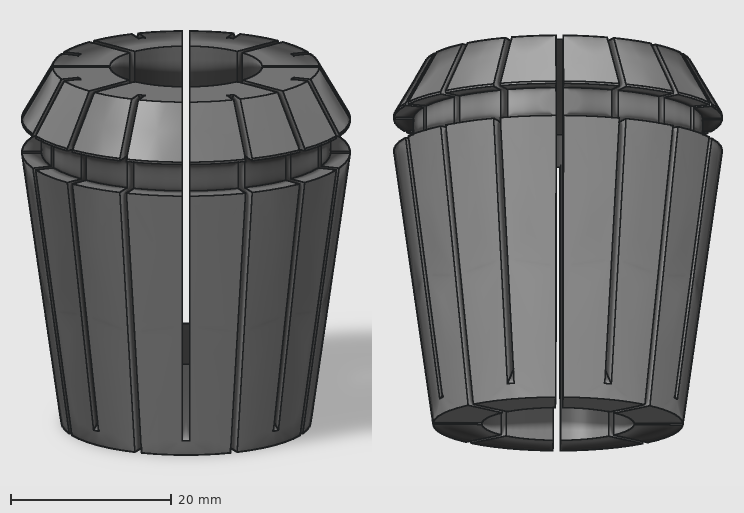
import cadquery as cq
import math

collet_height = 46.0
max_radius = 20.5
bore_radius = 9.5

taper_height = 34.9
taper_half_angle = 8.0
groove_radius = 18.05
groove_width = 4.1
rim_height = 0.3
nose_half_angle = 30.0

slots_per_end = 8
slot_width = 0.9
saw_radius = 50.0
slot_pitch = 360.0 / slots_per_end

root_start_radius = bore_radius - 0.5
top_slot_root_inner = (root_start_radius, 10.9)
top_slot_root_outer = (15.9, 1.9)
bottom_slot_root_inner = (root_start_radius, 33.1)
bottom_slot_root_outer = (14.4, collet_height)

clearance = 5.0
cut_inner_radius = bore_radius / 2
cut_outer_radius = max_radius + clearance


def revolved_body():
    """Bored double-cone blank turned about the Z axis."""
    rim_bottom = taper_height + groove_width
    rim_top = rim_bottom + rim_height
    base_radius = max_radius - taper_height * math.tan(math.radians(taper_half_angle))
    nose_drop = (collet_height - rim_top) * math.tan(math.radians(nose_half_angle))
    return (
        cq.Workplane("XZ")
        .moveTo(bore_radius, 0)
        .lineTo(base_radius, 0)
        .lineTo(max_radius, taper_height)
        .lineTo(groove_radius, taper_height)
        .lineTo(groove_radius, rim_bottom)
        .lineTo(max_radius, rim_bottom)
        .lineTo(max_radius, rim_top)
        .lineTo(max_radius - nose_drop, collet_height)
        .lineTo(bore_radius, collet_height)
        .close()
        .revolve(360, (0, 0, 0), (0, 1, 0))
    )


def root_midpoint(inner, outer):
    """Middle of the saw arc from inner to outer, bulging towards the axis."""
    run = outer[0] - inner[0]
    rise = outer[1] - inner[1]
    chord = math.hypot(run, rise)
    sagitta = saw_radius - math.sqrt(saw_radius**2 - (chord / 2) ** 2)
    mid_radius = (inner[0] + outer[0]) / 2 - sagitta * abs(rise) / chord
    mid_height = (inner[1] + outer[1]) / 2 + sagitta * math.copysign(run, rise) / chord
    return (mid_radius, mid_height)


def slot_cutter(inner, outer, open_end):
    """Radial slot along +X, cut in from open_end and stopping at the root arc."""
    return (
        cq.Workplane("XZ")
        .moveTo(cut_inner_radius, open_end)
        .lineTo(cut_inner_radius, inner[1])
        .lineTo(*inner)
        .threePointArc(root_midpoint(inner, outer), outer)
        .lineTo(cut_outer_radius, outer[1])
        .lineTo(cut_outer_radius, open_end)
        .close()
        .extrude(slot_width / 2, both=True)
    )


def cut_slots(body, cutter, start_angle):
    """Cut one end's ring of equally spaced slots."""
    for index in range(slots_per_end):
        angle = start_angle + index * slot_pitch
        body = body.cut(cutter.rotate((0, 0, 0), (0, 0, 1), angle))
    return body


top_slot = slot_cutter(top_slot_root_inner, top_slot_root_outer, collet_height + clearance)
bottom_slot = slot_cutter(bottom_slot_root_inner, bottom_slot_root_outer, -clearance)

collet = revolved_body()
collet = cut_slots(collet, top_slot, 0)
collet = cut_slots(collet, bottom_slot, slot_pitch / 2)

result = collet